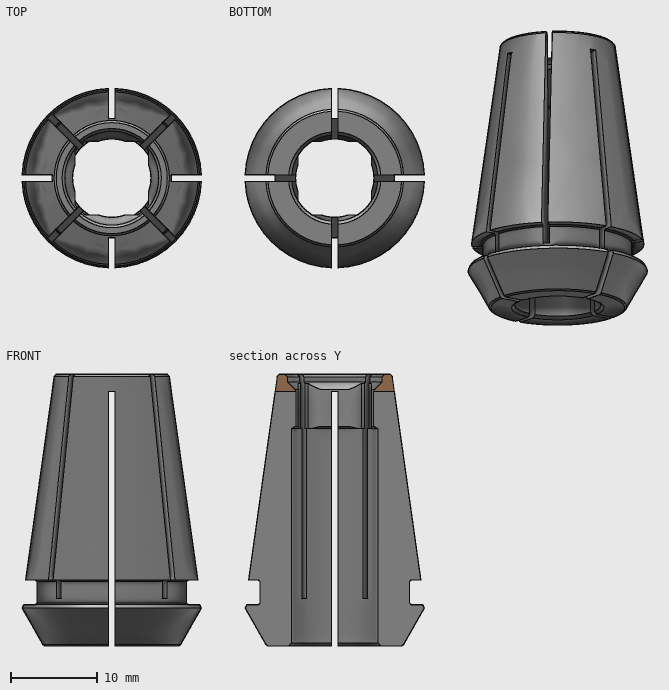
import cadquery as cq
import math

TOTAL_HEIGHT = 31.5
FLANGE_RIM_HEIGHT = 4.4
FLANGE_TOP_HEIGHT = 4.8
GROOVE_TOP_HEIGHT = 7.65

FLANGE_RIM_RADIUS = 10.4
FLANGE_TOP_RADIUS = 10.2
NOSE_RADIUS = 7.9
GROOVE_RADIUS = 8.7
CONE_BASE_RADIUS = 10.0
CONE_HALF_ANGLE = math.radians(8)
GROOVE_CORNER = 0.18
NOSE_CHAMFER = 0.15
TOP_CHAMFER = 0.25

SHANK_RADIUS = 5.0
SHANK_CHAMFER = 0.35
SHANK_END_SLOPE = math.radians(30)
SQUARE_SIZE = 8.5
SQUARE_CORNER_RADIUS = 5.25
SQUARE_RELIEF_RADIUS = 4.53
SQUARE_BOTTOM_HEIGHT = 25.2
MOUTH_RADIUS = 5.45
MOUTH_DEPTH = 0.87
MOUTH_CHAMFER = 0.3
FUNNEL_BOTTOM_RADIUS = 4.0

SLOT_WIDTH = 0.75
BOTTOM_SLOT_TOP = 29.5
TOP_SLOT_FLOOR = 5.5
CUT_MARGIN = 1.0


def revolve_profile(points):
    """Revolve a closed (radius, height) outline about the Z axis."""
    return cq.Workplane("XZ").polyline(points).close().revolve(360, (0, 0), (0, 1))


def cylinder(radius, bottom, top):
    return cq.Workplane("XY").workplane(offset=bottom).circle(radius).extrude(top - bottom)


def make_body():
    """Solid of revolution: nose flange, nut groove and long clamping cone."""
    cone_edge_height = TOTAL_HEIGHT - TOP_CHAMFER
    cone_length = cone_edge_height - GROOVE_TOP_HEIGHT
    cone_edge_radius = CONE_BASE_RADIUS - cone_length * math.tan(CONE_HALF_ANGLE)
    nose_slope = (FLANGE_RIM_RADIUS - NOSE_RADIUS) / FLANGE_RIM_HEIGHT
    return revolve_profile([
        (0, 0),
        (NOSE_RADIUS - NOSE_CHAMFER, 0),
        (NOSE_RADIUS + nose_slope * NOSE_CHAMFER, NOSE_CHAMFER),
        (FLANGE_RIM_RADIUS, FLANGE_RIM_HEIGHT),
        (FLANGE_TOP_RADIUS, FLANGE_TOP_HEIGHT),
        (GROOVE_RADIUS + GROOVE_CORNER, FLANGE_TOP_HEIGHT),
        (GROOVE_RADIUS, FLANGE_TOP_HEIGHT + GROOVE_CORNER),
        (GROOVE_RADIUS, GROOVE_TOP_HEIGHT - GROOVE_CORNER),
        (GROOVE_RADIUS + GROOVE_CORNER, GROOVE_TOP_HEIGHT),
        (CONE_BASE_RADIUS, GROOVE_TOP_HEIGHT),
        (cone_edge_radius, cone_edge_height),
        (cone_edge_radius - TOP_CHAMFER, TOTAL_HEIGHT),
        (0, TOTAL_HEIGHT),
    ])


def make_shank_bore():
    """Round bore, chamfered at the nose, with a shallow cone at its inner end."""
    cone_tip_height = SQUARE_BOTTOM_HEIGHT + SHANK_RADIUS * math.tan(SHANK_END_SLOPE)
    return revolve_profile([
        (0, 0),
        (SHANK_RADIUS + SHANK_CHAMFER, 0),
        (SHANK_RADIUS, SHANK_CHAMFER),
        (SHANK_RADIUS, SQUARE_BOTTOM_HEIGHT),
        (0, cone_tip_height),
    ])


def make_square_bore():
    """Square hole with rounded-off corners and a round relief in each flat."""
    top = TOTAL_HEIGHT - MOUTH_DEPTH
    square = (
        cq.Workplane("XY")
        .workplane(offset=SQUARE_BOTTOM_HEIGHT)
        .rect(SQUARE_SIZE, SQUARE_SIZE)
        .extrude(top - SQUARE_BOTTOM_HEIGHT)
    )
    square = square.intersect(cylinder(SQUARE_CORNER_RADIUS, SQUARE_BOTTOM_HEIGHT, top))
    return square.union(cylinder(SQUARE_RELIEF_RADIUS, SQUARE_BOTTOM_HEIGHT, top))


def make_mouth():
    """Chamfered round mouth with a 45 degree funnel leading into the square."""
    mouth_floor = TOTAL_HEIGHT - MOUTH_DEPTH
    funnel_bottom = mouth_floor - (MOUTH_RADIUS - FUNNEL_BOTTOM_RADIUS)
    return revolve_profile([
        (0, TOTAL_HEIGHT),
        (MOUTH_RADIUS + MOUTH_CHAMFER, TOTAL_HEIGHT),
        (MOUTH_RADIUS, TOTAL_HEIGHT - MOUTH_CHAMFER),
        (MOUTH_RADIUS, mouth_floor),
        (FUNNEL_BOTTOM_RADIUS, funnel_bottom),
        (0, funnel_bottom),
    ])


def make_slot_cross(bottom, top, angle):
    """Two perpendicular slots through the axis, turned by angle degrees."""
    length = 2 * (FLANGE_RIM_RADIUS + CUT_MARGIN)
    slots = cq.Workplane("XY")
    for turn in (angle, angle + 90):
        slot = (
            cq.Workplane("XY")
            .workplane(offset=bottom)
            .rect(length, SLOT_WIDTH)
            .extrude(top - bottom)
            .rotate((0, 0, 0), (0, 0, 1), turn)
        )
        slots = slots.add(slot)
    return slots.combine()


result = make_body()
for bore in (make_shank_bore(), make_square_bore(), make_mouth()):
    result = result.cut(bore)
result = result.cut(make_slot_cross(-CUT_MARGIN, BOTTOM_SLOT_TOP, 0))
result = result.cut(make_slot_cross(TOP_SLOT_FLOOR, TOTAL_HEIGHT + CUT_MARGIN, 45))